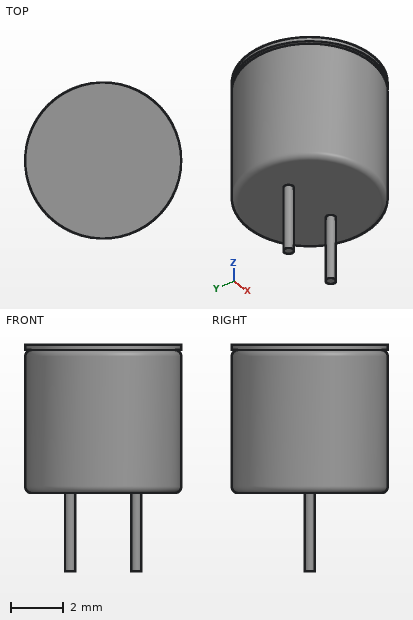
import cadquery as cq

total_height = 8.7
diameter = 6.0
lid_thickness = 0.2
pin_length = 3.0
pin_diameter = 0.4
pin_spacing = 2.54
edge_radius = 0.25

can_height = total_height - pin_length - lid_thickness


def make_can():
    """Solid cylinder with rounded top and bottom rims."""
    return (
        cq.Workplane("XY")
        .circle(diameter / 2)
        .extrude(can_height)
        .edges("%CIRCLE")
        .fillet(edge_radius)
    )


def make_lid():
    """Flat disc resting on the top face of the can."""
    return (
        cq.Workplane("XY")
        .workplane(offset=can_height)
        .circle(diameter / 2)
        .extrude(lid_thickness)
    )


def make_pin(x):
    """Straight round lead hanging from the bottom face of the can."""
    return (
        cq.Workplane("XY")
        .center(x, 0)
        .circle(pin_diameter / 2)
        .extrude(-pin_length)
    )


can = make_can()
lid = make_lid()
pins = [make_pin(side * pin_spacing / 2) for side in (-1, 1)]

result = cq.Compound.makeCompound([can.val(), lid.val(), *[pin.val() for pin in pins]])